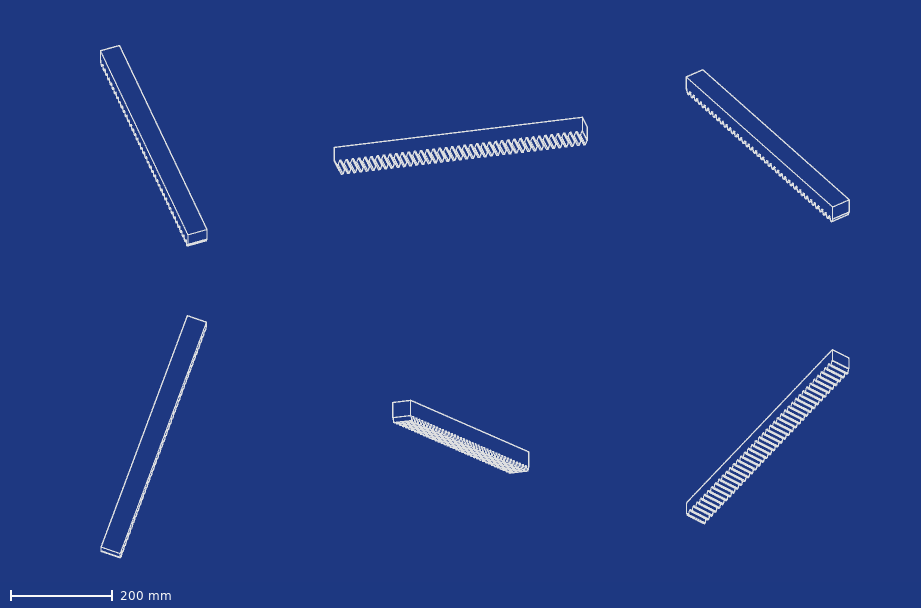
import cadquery as cq
import math

MODULE = 4.0
PRESSURE_ANGLE = math.radians(20)
DEDENDUM_FACTOR = 1.25
TOOTH_COUNT = 40
LENGTH = 501.92
WIDTH = 40.0
HEIGHT = 39.7

PITCH = math.pi * MODULE
ADDENDUM = MODULE
DEDENDUM = DEDENDUM_FACTOR * MODULE
TOOTH_DEPTH = ADDENDUM + DEDENDUM
TIP_WIDTH = PITCH / 2 - 2 * ADDENDUM * math.tan(PRESSURE_ANGLE)
ROOT_WIDTH = PITCH / 2 + 2 * DEDENDUM * math.tan(PRESSURE_ANGLE)

LEFT_END = -LENGTH / 2
RIGHT_END = LENGTH / 2
ROOT_Z = TOOTH_DEPTH

LAST_TOOTH_X = RIGHT_END - PITCH / 2
FIRST_TOOTH_X = LAST_TOOTH_X - (TOOTH_COUNT - 1) * PITCH


def tooth_points(center_x):
    """Corners of one downward tooth, from its left root to its right root."""
    return [
        (center_x - ROOT_WIDTH / 2, ROOT_Z),
        (center_x - TIP_WIDTH / 2, 0),
        (center_x + TIP_WIDTH / 2, 0),
        (center_x + ROOT_WIDTH / 2, ROOT_Z),
    ]


def rack_outline():
    """Closed XZ outline: plain top and ends, toothed underside."""
    points = [(LEFT_END, HEIGHT), (LEFT_END, ROOT_Z)]
    for tooth in range(TOOTH_COUNT):
        points += tooth_points(FIRST_TOOTH_X + tooth * PITCH)
    points += [(RIGHT_END, ROOT_Z), (RIGHT_END, HEIGHT)]
    return points


result = cq.Workplane("XZ").polyline(rack_outline()).close().extrude(WIDTH / 2, both=True)